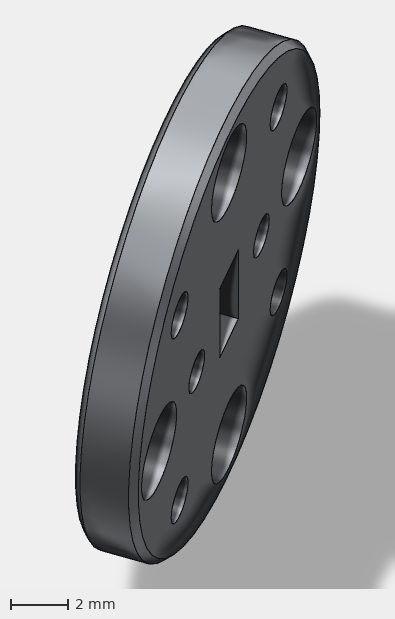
import cadquery as cq

disc_diameter = 19.05
thickness = 2.35
edge_chamfer = 0.27

large_hole_diameter = 3.58
large_hole_radius = 7.15

small_hole_diameter = 1.71
small_hole_offset = 5.05

inner_hole_diameter = 1.6
inner_hole_offset = 3.3

window_width = 1.89
window_height = 3.75


def make_disc():
    """Disc starting at X = 0, chamfered around both rims."""
    disc = cq.Workplane("YZ").circle(disc_diameter / 2).extrude(thickness)
    return disc.faces("<X or >X").edges().chamfer(edge_chamfer)


def through_holes(centres, diameter):
    """Cylinders along X, as long as the disc is thick, at the (Y, Z) centres."""
    plane = cq.Workplane("YZ").pushPoints(centres)
    return plane.circle(diameter / 2).extrude(thickness)


large_centres = [
    (large_hole_radius, 0),
    (0, large_hole_radius),
    (-large_hole_radius, 0),
    (0, -large_hole_radius),
]
small_centres = [
    (y_side * small_hole_offset, z_side * small_hole_offset)
    for y_side in (-1, 1)
    for z_side in (-1, 1)
]
inner_centres = [(-inner_hole_offset, 0), (inner_hole_offset, 0)]

window = cq.Workplane("YZ").rect(window_width, window_height).extrude(thickness)

result = (
    make_disc()
    .cut(through_holes(large_centres, large_hole_diameter))
    .cut(through_holes(small_centres, small_hole_diameter))
    .cut(through_holes(inner_centres, inner_hole_diameter))
    .cut(window)
)